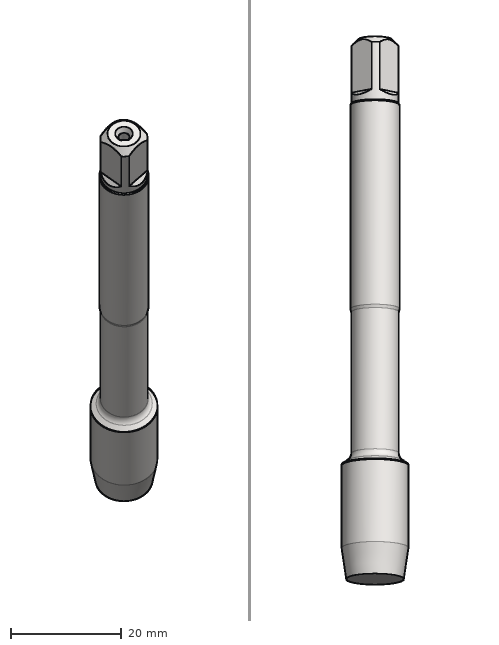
import cadquery as cq
import math

total_length = 100.0

head_diameter = 12.2
head_top = 21.0
tip_diameter = 10.5
lead_length = 5.8

shank_diameter = 9.0
neck_diameter = 8.7
shank_bottom = 50.1
shank_step_height = 0.6
collar_diameter = 8.6
shank_top = 87.8
shank_chamfer_height = 0.3

shoulder_cone_diameter = 10.2
shoulder_rim_height = 0.2
shoulder_slope = math.radians(35)
shoulder_rim_top = head_top + shoulder_rim_height
shoulder_cone_width = (head_diameter - shoulder_cone_diameter) / 2
shoulder_cone_top = shoulder_rim_top + shoulder_cone_width * math.tan(shoulder_slope)

fillet_width = (shoulder_cone_diameter - neck_diameter) / 2
fillet_radius = fillet_width / (1 - math.sin(shoulder_slope))
fillet_top = shoulder_cone_top + fillet_radius * math.cos(shoulder_slope)

square_width = 7.0
square_bottom = 90.0
square_end_diameter = 6.0
square_chamfer = (collar_diameter - square_end_diameter) / 2

center_hole_diameter = 2.0
countersink_diameter = 3.2
countersink_angle = 60.0
center_hole_depth = 3.0
drill_point_angle = 120.0


def cone_height(radius, full_angle):
    """Axial height over which a cone of the given full angle opens to the radius."""
    return radius / math.tan(math.radians(full_angle / 2))


def revolve_about_z(profile):
    """Turn a closed radius-height profile, drawn in the XZ plane, about the Z axis."""
    return profile.close().revolve(360, (0, 0, 0), (0, 1, 0))


def make_head():
    """Cylindrical cutting head with a tapered lead at its lower end."""
    profile = (
        cq.Workplane("XZ")
        .lineTo(tip_diameter / 2, 0)
        .lineTo(head_diameter / 2, lead_length)
        .lineTo(head_diameter / 2, head_top)
        .lineTo(0, head_top)
    )
    return revolve_about_z(profile)


def make_turned_shank():
    """Rim, shoulder, neck, shank and collar as one turned shape."""
    neck_radius = neck_diameter / 2
    shank_radius = shank_diameter / 2
    collar_radius = collar_diameter / 2
    fillet_middle_angle = (math.radians(90) - shoulder_slope) / 2
    fillet_middle = (
        neck_radius + fillet_radius * (1 - math.cos(fillet_middle_angle)),
        fillet_top - fillet_radius * math.sin(fillet_middle_angle),
    )
    profile = (
        cq.Workplane("XZ")
        .moveTo(0, head_top)
        .lineTo(head_diameter / 2, head_top)
        .lineTo(head_diameter / 2, shoulder_rim_top)
        .lineTo(shoulder_cone_diameter / 2, shoulder_cone_top)
        .threePointArc(fillet_middle, (neck_radius, fillet_top))
        .lineTo(neck_radius, shank_bottom - shank_step_height)
        .lineTo(shank_radius, shank_bottom)
        .lineTo(shank_radius, shank_top)
        .lineTo(collar_radius, shank_top + shank_chamfer_height)
        .lineTo(collar_radius, total_length - square_chamfer)
        .lineTo(square_end_diameter / 2, total_length)
        .lineTo(0, total_length)
    )
    return revolve_about_z(profile)


def make_flat_cutter():
    """Cutter for the +X flat, with a floor that slopes down outwards at 45 degrees."""
    flat_distance = square_width / 2
    cutter_reach = shank_diameter - flat_distance
    return (
        cq.Workplane("XZ")
        .moveTo(flat_distance, square_bottom)
        .lineTo(flat_distance + cutter_reach, square_bottom - cutter_reach)
        .lineTo(flat_distance + cutter_reach, total_length)
        .lineTo(flat_distance, total_length)
        .close()
        .extrude(shank_diameter, both=True)
    )


def make_center_hole():
    """Countersunk blind hole with a conical drill point."""
    hole_radius = center_hole_diameter / 2
    countersink_radius = countersink_diameter / 2
    countersink_depth = cone_height(countersink_radius - hole_radius, countersink_angle)
    hole_floor = total_length - center_hole_depth
    profile = (
        cq.Workplane("XZ")
        .moveTo(0, total_length)
        .lineTo(countersink_radius, total_length)
        .lineTo(hole_radius, total_length - countersink_depth)
        .lineTo(hole_radius, hole_floor)
        .lineTo(0, hole_floor - cone_height(hole_radius, drill_point_angle))
    )
    return revolve_about_z(profile)


def make_shank():
    """Turned shank with the driving square and the centre hole cut into it."""
    body = make_turned_shank()
    flat_cutter = make_flat_cutter()
    for angle in (0, 90, 180, 270):
        body = body.cut(flat_cutter.rotate((0, 0, 0), (0, 0, 1), angle))
    return body.cut(make_center_hole())


head = make_head()
shank = make_shank()

result = cq.Compound.makeCompound([head.val(), shank.val()])